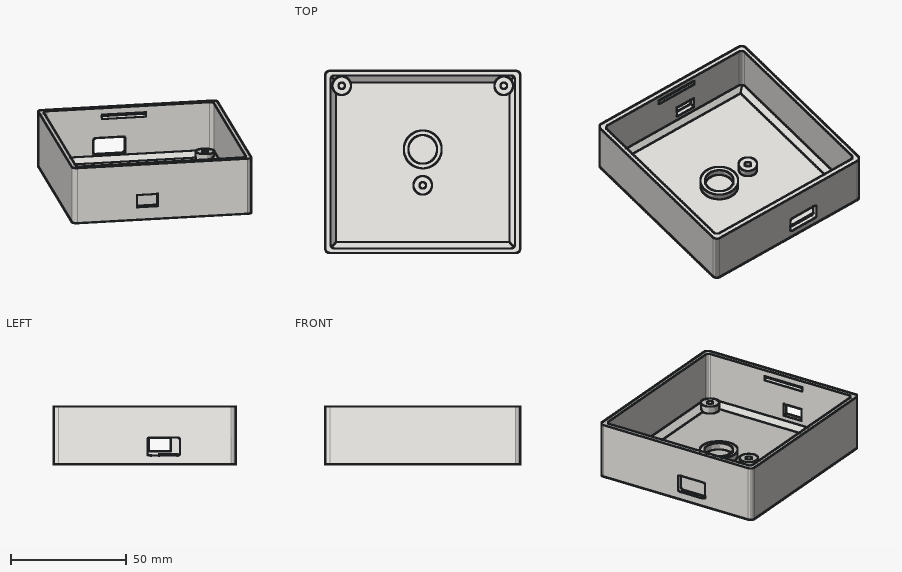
import cadquery as cq

LENGTH = 84.6
WIDTH = 79.0
HEIGHT = 25.0
OUTER_CORNER_RADIUS = 2.0
SIDE_WALL = 2.4
END_WALL = 2.0
CAVITY_CORNER_RADIUS = 1.7
FLOOR = 1.0
CAVITY_LENGTH = LENGTH - 2 * SIDE_WALL
CAVITY_WIDTH = WIDTH - 2 * END_WALL

BEVEL_RISE = 2.45
SIDE_BEVEL_RUN = 2.4
FRONT_BEVEL_RUN = 2.7
BACK_BEVEL_RUN = 3.1

POST_DIAMETER = 8.0
POST_HOLE_DIAMETER = 2.8
POST_TOP = 4.4
CORNER_POST_X = 35.1
CORNER_POST_Y = 33.0
FRONT_POST_Y = -10.15
POST_CENTRES = [(-CORNER_POST_X, CORNER_POST_Y), (CORNER_POST_X, CORNER_POST_Y), (0, FRONT_POST_Y)]
RING_OUTER_DIAMETER = 16.4
RING_INNER_DIAMETER = 12.4
RING_TOP = 4.1
RING_Y = 5.4

LEFT_WINDOW_WIDTH = 14.1
LEFT_WINDOW_HEIGHT = 7.9
LEFT_WINDOW_Y = -8.2
LEFT_WINDOW_BOTTOM = 3.7
LEFT_WINDOW_RADIUS = 1.1
RIGHT_WINDOW_WIDTH = 9.3
RIGHT_WINDOW_HEIGHT = 5.6
RIGHT_WINDOW_Y = -6.5
RIGHT_WINDOW_BOTTOM = 5.75

GROOVE_LENGTH = 19.5
GROOVE_Y = -1.8
GROOVE_Z = 21.15
GROOVE_DEPTH = 1.0


def make_shell():
    """Open box with rounded vertical corners."""
    body = cq.Workplane("XY").box(LENGTH, WIDTH, HEIGHT, centered=(True, True, False))
    body = body.edges("|Z").fillet(OUTER_CORNER_RADIUS)
    return body.cut(make_cavity())


def make_cavity():
    """Space inside the walls, from the floor up to the rim."""
    cavity = cq.Workplane("XY", origin=(0, 0, FLOOR)).box(
        CAVITY_LENGTH, CAVITY_WIDTH, HEIGHT - FLOOR, centered=(True, True, False)
    )
    return cavity.edges("|Z").fillet(CAVITY_CORNER_RADIUS)


def make_bevels():
    """Sloped frame left when a widening hollow is taken from the foot of the cavity."""
    frame = cq.Workplane("XY", origin=(0, 0, FLOOR)).box(
        CAVITY_LENGTH, CAVITY_WIDTH, BEVEL_RISE, centered=(True, True, False)
    )
    floor_length = CAVITY_LENGTH - 2 * SIDE_BEVEL_RUN
    floor_width = CAVITY_WIDTH - FRONT_BEVEL_RUN - BACK_BEVEL_RUN
    floor_y = (FRONT_BEVEL_RUN - BACK_BEVEL_RUN) / 2
    hollow = (
        cq.Workplane("XY", origin=(0, 0, FLOOR))
        .center(0, floor_y)
        .rect(floor_length, floor_width)
        .workplane(offset=BEVEL_RISE)
        .center(0, -floor_y)
        .rect(CAVITY_LENGTH, CAVITY_WIDTH)
        .loft(ruled=True)
    )
    return frame.cut(hollow)


def make_cylinder(diameter, top, centres):
    """Upright cylinders from the floor up to the given height."""
    return (
        cq.Workplane("XY", origin=(0, 0, FLOOR))
        .pushPoints(centres)
        .circle(diameter / 2)
        .extrude(top - FLOOR)
    )


def make_window(side, y, bottom, width, height):
    """Cutter through one side wall; side is -1 for -X and 1 for +X."""
    return cq.Workplane("XY", origin=(side * (LENGTH - SIDE_WALL) / 2, y, bottom)).box(
        2 * SIDE_WALL, width, height, centered=(True, True, False)
    )


def make_groove(side):
    """V-shaped cutter opening into the cavity from one side wall."""
    mouth_x = side * CAVITY_LENGTH / 2
    return (
        cq.Workplane("XZ", origin=(0, GROOVE_Y, 0))
        .moveTo(mouth_x, GROOVE_Z - GROOVE_DEPTH)
        .lineTo(mouth_x + side * GROOVE_DEPTH, GROOVE_Z)
        .lineTo(mouth_x, GROOVE_Z + GROOVE_DEPTH)
        .close()
        .extrude(GROOVE_LENGTH / 2, both=True)
    )


result = make_shell().union(make_bevels())

ring_centre = [(0, RING_Y)]
result = result.union(make_cylinder(RING_OUTER_DIAMETER, RING_TOP, ring_centre))
result = result.cut(make_cylinder(RING_INNER_DIAMETER, RING_TOP, ring_centre))
result = result.union(make_cylinder(POST_DIAMETER, POST_TOP, POST_CENTRES))
result = result.cut(make_cylinder(POST_HOLE_DIAMETER, POST_TOP, POST_CENTRES))

left_window = make_window(-1, LEFT_WINDOW_Y, LEFT_WINDOW_BOTTOM, LEFT_WINDOW_WIDTH, LEFT_WINDOW_HEIGHT)
result = result.cut(left_window.edges("|X").fillet(LEFT_WINDOW_RADIUS))
result = result.cut(
    make_window(1, RIGHT_WINDOW_Y, RIGHT_WINDOW_BOTTOM, RIGHT_WINDOW_WIDTH, RIGHT_WINDOW_HEIGHT)
)
for wall_side in (-1, 1):
    result = result.cut(make_groove(wall_side))